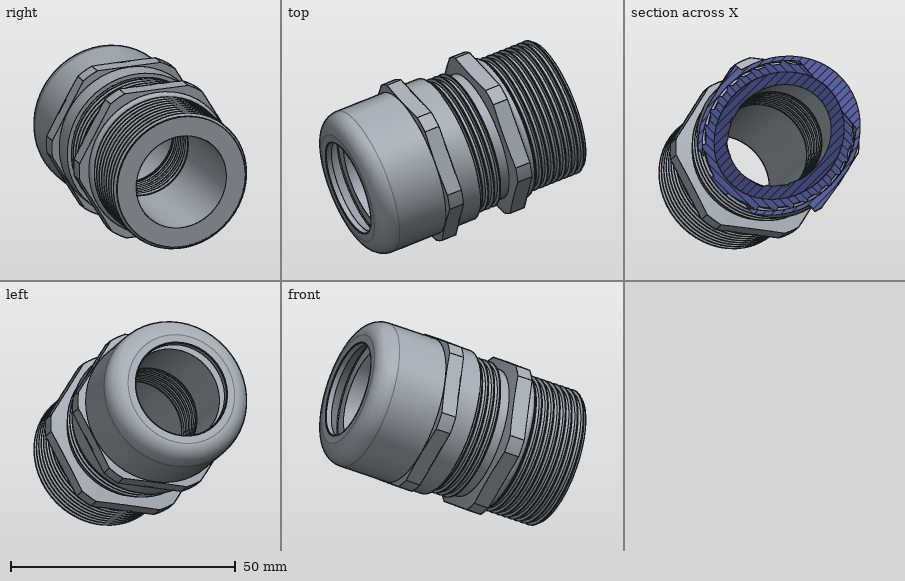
import cadquery as cq
import math


AXIS_SWING = 20.7
AXIS_DIP = 18.6

HEX_HALF_FLATS = 17.0
HEX_CORNER_R = 18.6
HEX_ROLL = 0.7
HEX_FACE_SLOPE = 6.5

CAP_R = 16.85
CAP_LENGTH = 24.5
CAP_DOME_R = 4.15
CAP_HEX_START = 15.8
CAP_HEX_END = 19.45
MOUTH_R = 10.8
MOUTH_EDGE = 0.2
MOUTH_LENGTH = 1.4
CAP_CONE_END = 4.15

THREAD_CREST_R = 15.85
THREAD_ROOT_R = 15.25
PITCH = 1.5
CREST_WIDTH = 0.25
FLANK_WIDTH = 0.3
UPPER_RIDGES = 13
UPPER_LAST_CREST = 30.0
LOWER_RIDGES = 9
LOWER_FIRST_CREST = 38.95

BODY_START = 10.7
BODY_END = 51.8
NECK_R = 14.9
NECK_START = UPPER_LAST_CREST + CREST_WIDTH / 2 + FLANK_WIDTH
BODY_HEX_START = 32.7
BODY_HEX_END = 36.7
BORE_R = 10.75

SEAL_R = 13.4
SEAL_START = 4.45
SEAL_END = 27.85

BAND_START = 18.6
BAND_R = 10.55
GROOVE_COUNT = 4
GROOVE_R = 11.0
GROOVE_PITCH = 2.0
GROOVE_HALF_WIDTH = 0.5
FIRST_GROOVE = 19.95

RING_WIRE_R = 1.0
RING_MEAN_R = 15.6


def revolve(points):
    """Solid of revolution about X from (x, radius) points."""
    return cq.Workplane("XY").polyline(points).close().revolve(360, (0, 0, 0), (1, 0, 0))


def cylinder(start, end, radius):
    return cq.Workplane("YZ").workplane(offset=start).circle(radius).extrude(end - start)


def hexagon(start, end, root_r):
    """Hexagon with rounded corners whose leading face is a cone that starts at root_r."""
    prism = (
        cq.Workplane("YZ")
        .workplane(offset=start)
        .polygon(6, 2 * HEX_HALF_FLATS / math.cos(math.pi / 6))
        .extrude(end - start)
        .rotate((0, 0, 0), (1, 0, 0), HEX_ROLL)
    )
    lean = (HEX_CORNER_R - root_r) * math.tan(math.radians(HEX_FACE_SLOPE))
    blank = revolve(
        [
            (start, 0),
            (start, root_r),
            (start + lean, HEX_CORNER_R),
            (end, HEX_CORNER_R),
            (end, 0),
        ]
    )
    return prism.intersect(blank)


def thread_profile(first_crest, count):
    """Outline points of `count` thread ridges."""
    points = []
    for i in range(count):
        crest = first_crest + i * PITCH
        points += [
            (crest - CREST_WIDTH / 2 - FLANK_WIDTH, THREAD_ROOT_R),
            (crest - CREST_WIDTH / 2, THREAD_CREST_R),
            (crest + CREST_WIDTH / 2, THREAD_CREST_R),
            (crest + CREST_WIDTH / 2 + FLANK_WIDTH, THREAD_ROOT_R),
        ]
    return points


def make_cap():
    barrel = cylinder(0, CAP_LENGTH, CAP_R).faces("<X").edges().fillet(CAP_DOME_R)
    barrel = barrel.union(hexagon(CAP_HEX_START, CAP_HEX_END, CAP_R))
    cavity = revolve(
        [
            (0, 0),
            (0, MOUTH_R + MOUTH_EDGE),
            (MOUTH_EDGE, MOUTH_R),
            (MOUTH_LENGTH, MOUTH_R),
            (CAP_CONE_END, SEAL_R),
            (BODY_START, SEAL_R),
            (BODY_START, THREAD_CREST_R),
            (CAP_LENGTH, THREAD_CREST_R),
            (CAP_LENGTH, 0),
        ]
    )
    return barrel.cut(cavity)


def make_body():
    upper_thread = thread_profile(UPPER_LAST_CREST - (UPPER_RIDGES - 1) * PITCH, UPPER_RIDGES)
    neck = [(NECK_START, NECK_R), (BODY_HEX_END, NECK_R), (BODY_HEX_END, THREAD_ROOT_R)]
    lower_thread = thread_profile(LOWER_FIRST_CREST, LOWER_RIDGES)
    front_end = [(BODY_START, 0), (BODY_START, THREAD_ROOT_R)]
    rear_end = [(BODY_END, THREAD_ROOT_R), (BODY_END, 0)]
    body = revolve(front_end + upper_thread + neck + lower_thread + rear_end)
    body = body.union(hexagon(BODY_HEX_START, BODY_HEX_END, NECK_R))
    body = body.cut(cylinder(BODY_START, BODY_END, BORE_R))
    body = body.cut(cylinder(BODY_START, SEAL_END, SEAL_R))
    return body.cut(make_o_ring())


def make_seal():
    """Sleeve whose bore ends in a slightly narrower band with V-shaped grooves."""
    points = [
        (SEAL_START, SEAL_R),
        (SEAL_START, BORE_R),
        (BAND_START, BORE_R),
        (BAND_START, BAND_R),
    ]
    for i in range(GROOVE_COUNT):
        middle = FIRST_GROOVE + i * GROOVE_PITCH
        points += [
            (middle - GROOVE_HALF_WIDTH, BAND_R),
            (middle, GROOVE_R),
            (middle + GROOVE_HALF_WIDTH, BAND_R),
        ]
    points += [(SEAL_END, BAND_R), (SEAL_END, SEAL_R)]
    return revolve(points)


def make_o_ring():
    return (
        cq.Workplane("XY")
        .center(BODY_HEX_END + RING_WIRE_R, RING_MEAN_R)
        .circle(RING_WIRE_R)
        .revolve(360, (0, -RING_MEAN_R, 0), (1, -RING_MEAN_R, 0))
    )


def tilt(part):
    swung = part.rotate((0, 0, 0), (0, 0, 1), AXIS_SWING)
    return swung.rotate((0, 0, 0), (0, 1, 0), AXIS_DIP)


cap = tilt(make_cap())
body = tilt(make_body())
seal = tilt(make_seal())
o_ring = tilt(make_o_ring())

result = cq.Compound.makeCompound([cap.val(), body.val(), seal.val(), o_ring.val()])